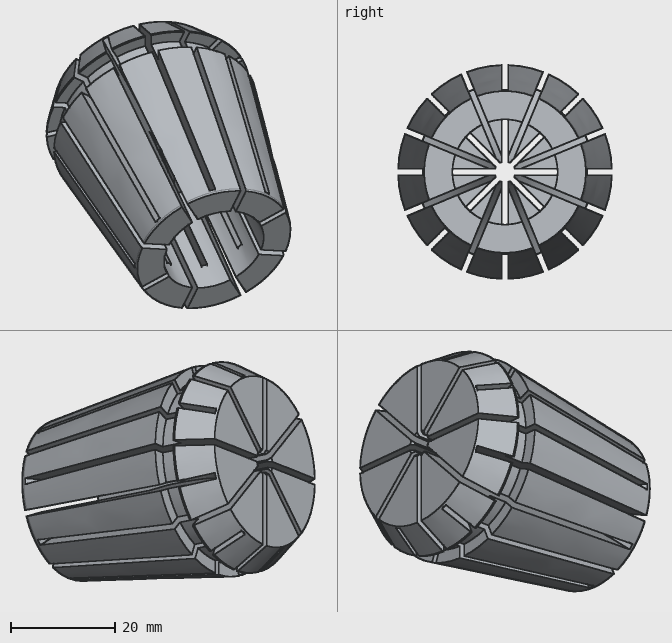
import cadquery as cq
import math

LENGTH = 46.0
HEAD_DIAMETER = 41.0
HEAD_RADIUS = HEAD_DIAMETER / 2
NOSE_CONE_LENGTH = 6.65
NOSE_CONE_ANGLE = 30.0
GROOVE_START = 7.0
GROOVE_END = 11.2
GROOVE_RADIUS = 18.0
TAPER_ANGLE = 8.0
TAIL_CHAMFER = 0.45
TAIL_CHAMFER_DEPTH = 0.2

BORE_RADIUS = 2.0
BORE_CHAMFER = 0.6
RELIEF_RADIUS = 10.07
RELIEF_START = 20.7

SLOT_WIDTH = 1.2
SLOTS_PER_END = 8
SLOT_SPACING = 360.0 / SLOTS_PER_END
CUTTER_RADIUS = 36.8
NOSE_SLOT_END = 45.13
TAIL_SLOT_END = 0.45

NOSE_RADIUS = HEAD_RADIUS - NOSE_CONE_LENGTH * math.tan(math.radians(NOSE_CONE_ANGLE))


def taper_radius(x):
    """Outer radius of the long taper at x."""
    return HEAD_RADIUS - (x - GROOVE_END) * math.tan(math.radians(TAPER_ANGLE))


def nose_cone_radius(x):
    """Outer radius of the nose cone at x."""
    return NOSE_RADIUS + x * math.tan(math.radians(NOSE_CONE_ANGLE))


def make_body():
    """Revolve the half section, including the stepped bore."""
    chamfer_x = LENGTH - TAIL_CHAMFER
    section = [
        (0, BORE_RADIUS + BORE_CHAMFER),
        (0, NOSE_RADIUS),
        (NOSE_CONE_LENGTH, HEAD_RADIUS),
        (GROOVE_START, HEAD_RADIUS),
        (GROOVE_START, GROOVE_RADIUS),
        (GROOVE_END, GROOVE_RADIUS),
        (GROOVE_END, HEAD_RADIUS),
        (chamfer_x, taper_radius(chamfer_x)),
        (LENGTH, taper_radius(chamfer_x) - TAIL_CHAMFER_DEPTH),
        (LENGTH, RELIEF_RADIUS),
        (RELIEF_START, RELIEF_RADIUS),
        (RELIEF_START, BORE_RADIUS),
        (BORE_CHAMFER, BORE_RADIUS),
    ]
    profile = cq.Workplane("XY").polyline(section).close()
    return profile.revolve(360, (0, 0, 0), (1, 0, 0))


def make_slot(open_x, end_x, end_radius, angle):
    """Radial slot open at open_x, its floor curving up from the axis to (end_x, end_radius)."""
    direction = math.copysign(1, end_x - open_x)
    sweep = math.acos(1 - end_radius / CUTTER_RADIUS)
    run_out_x = end_x - direction * CUTTER_RADIUS * math.sin(sweep)
    top_radius = HEAD_RADIUS + SLOT_WIDTH
    middle = (
        run_out_x + direction * CUTTER_RADIUS * math.sin(sweep / 2),
        CUTTER_RADIUS * (1 - math.cos(sweep / 2)),
    )
    slot = (
        cq.Workplane("XY")
        .moveTo(open_x, 0)
        .lineTo(run_out_x, 0)
        .threePointArc(middle, (end_x, end_radius))
        .lineTo(end_x, top_radius)
        .lineTo(open_x, top_radius)
        .close()
        .extrude(SLOT_WIDTH / 2, both=True)
    )
    return slot.rotate((0, 0, 0), (1, 0, 0), angle)


result = make_body()
nose_slot_radius = taper_radius(NOSE_SLOT_END)
tail_slot_radius = nose_cone_radius(TAIL_SLOT_END)
for index in range(SLOTS_PER_END):
    nose_angle = index * SLOT_SPACING
    tail_angle = nose_angle + SLOT_SPACING / 2
    result = result.cut(make_slot(0, NOSE_SLOT_END, nose_slot_radius, nose_angle))
    result = result.cut(make_slot(LENGTH, TAIL_SLOT_END, tail_slot_radius, tail_angle))